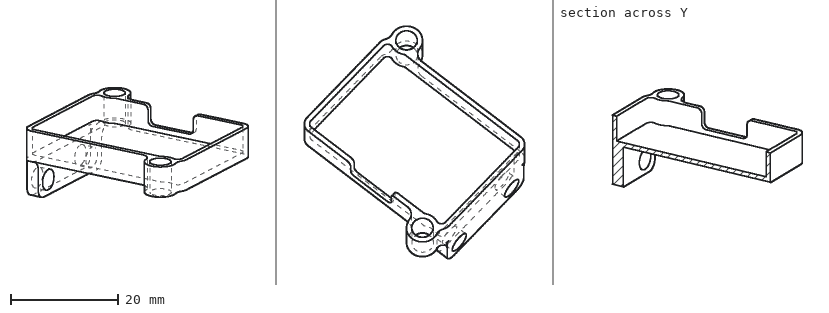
import cadquery as cq
import math

LENGTH = 35.0
WIDTH = 25.0
HEIGHT = 6.0
WALL = 1.0
FLOOR = 1.0
CORNER_RADIUS = 2.0
CAVITY_RADIUS = CORNER_RADIUS - WALL

HOLE_DIAMETER = 4.0
EAR_RADIUS = HOLE_DIAMETER / 2 + WALL
EAR_X = 14.0
EAR_Y = 14.0
EAR_BLEND_RADIUS = 2.0
EAR_CENTERS = [(-EAR_X, EAR_Y), (EAR_X, -EAR_Y)]

NOTCH_WIDTH = 10.0
NOTCH_SILL = FLOOR + 1.0
NOTCH_RADIUS = 1.0

TAB_THICKNESS = 2.5
TAB_WIDTH = 22.0
TAB_DROP = 8.0
TAB_CORNER_RADIUS = 2.0
TAB_ROOT_RADIUS = 2.0
TAB_HOLE_SPACING = 15.0
TAB_HOLE_RISE = 3.0


def make_ears(height):
    """Two plain round posts at opposite corners."""
    return cq.Workplane("XY").pushPoints(EAR_CENTERS).circle(EAR_RADIUS).extrude(height)


def make_envelope(height):
    """Solid block with the outer outline of the tray, blended into both ears."""
    block = cq.Workplane("XY").rect(LENGTH, WIDTH).extrude(height)
    block = block.edges("|Z").fillet(CORNER_RADIUS)
    body = block.union(make_ears(height))
    for x, y in EAR_CENTERS:
        near_ear = cq.selectors.BoxSelector(
            (x - EAR_RADIUS, y - EAR_RADIUS, 0),
            (x + EAR_RADIUS, y + EAR_RADIUS, height),
        )
        body = body.edges("|Z").edges(near_ear).fillet(EAR_BLEND_RADIUS)
    return body


def make_cavity():
    """Inside of the tray, bounded by the walls and the rounded backs of the ears."""
    cavity = cq.Workplane("XY").rect(LENGTH - 2 * WALL, WIDTH - 2 * WALL).extrude(HEIGHT)
    for x, y in EAR_CENTERS:
        end_wall_x = math.copysign(LENGTH / 2 - WALL, x)
        corner = cq.Workplane("XY").center((x + end_wall_x) / 2, y / 2)
        cavity = cavity.union(corner.rect(abs(end_wall_x - x), abs(y)).extrude(HEIGHT))
    cavity = cavity.cut(make_ears(HEIGHT))
    return cavity.edges("|Z").fillet(CAVITY_RADIUS).translate((0, 0, FLOOR))


def make_notch():
    """Cutter for the notch: rounded at the sill and flared into the rim."""
    half_width = NOTCH_WIDTH / 2
    r = NOTCH_RADIUS
    profile = (
        cq.Workplane("XZ", origin=(0, WIDTH / 2, 0))
        .moveTo(-half_width - r, HEIGHT)
        .radiusArc((-half_width, HEIGHT - r), r)
        .lineTo(-half_width, NOTCH_SILL + r)
        .radiusArc((-half_width + r, NOTCH_SILL), -r)
        .lineTo(half_width - r, NOTCH_SILL)
        .radiusArc((half_width, NOTCH_SILL + r), -r)
        .lineTo(half_width, HEIGHT - r)
        .radiusArc((half_width + r, HEIGHT), r)
        .close()
    )
    return profile.extrude(WALL)


def make_tab():
    """Plate flush with the -X end, rounded at its lower corners."""
    return (
        cq.Workplane("XY")
        .box(TAB_THICKNESS, TAB_WIDTH, TAB_DROP, centered=(False, True, False))
        .translate((-LENGTH / 2, 0, -TAB_DROP))
        .edges("|X and <Z")
        .fillet(TAB_CORNER_RADIUS)
    )


def make_tab_roots():
    """Concave rounds from the tab sides to the tray bottom, kept inside the tray outline."""
    half_width = TAB_WIDTH / 2
    r = TAB_ROOT_RADIUS
    web = (
        cq.Workplane("YZ", origin=(-LENGTH / 2, 0, 0))
        .moveTo(half_width, 0)
        .lineTo(half_width, -r)
        .radiusArc((half_width + r, 0), r)
        .close()
        .extrude(TAB_THICKNESS)
    )
    webs = web.union(web.mirror("XZ"))
    return webs.intersect(make_envelope(r).translate((0, 0, -r)))


def make_tab_holes():
    """Pins for the two holes through the tab along X."""
    return (
        cq.Workplane("YZ", origin=(-LENGTH / 2, 0, TAB_HOLE_RISE - TAB_DROP))
        .pushPoints([(-TAB_HOLE_SPACING / 2, 0), (TAB_HOLE_SPACING / 2, 0)])
        .circle(HOLE_DIAMETER / 2)
        .extrude(TAB_THICKNESS)
    )


def make_ear_holes():
    """Pins for the upright holes through the ears and the tab root beneath one of them."""
    return (
        cq.Workplane("XY", origin=(0, 0, -TAB_ROOT_RADIUS))
        .pushPoints(EAR_CENTERS)
        .circle(HOLE_DIAMETER / 2)
        .extrude(TAB_ROOT_RADIUS + HEIGHT)
    )


tray = make_envelope(HEIGHT).union(make_tab()).union(make_tab_roots())
tray = tray.cut(make_cavity()).cut(make_notch())
result = tray.cut(make_ear_holes()).cut(make_tab_holes())